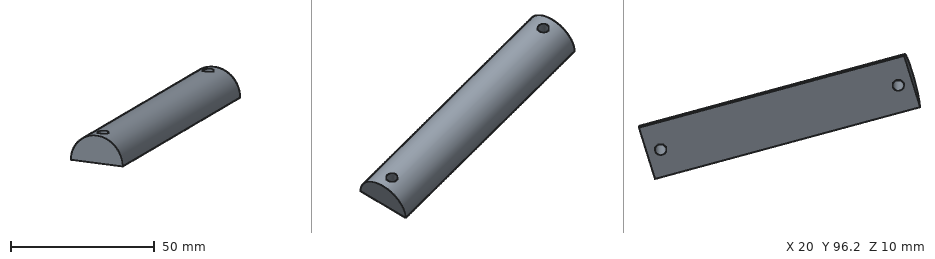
import cadquery as cq

radius = 10.0
length = 96.2

hole_diameter = 4.0
hole_end_distance = 5.0
hole_offset = length / 2 - hole_end_distance


def half_round_bar():
    """Half disc in the XZ plane, extruded symmetrically along Y."""
    return (
        cq.Workplane("XZ")
        .moveTo(-radius, 0)
        .threePointArc((0, radius), (radius, 0))
        .close()
        .extrude(length / 2, both=True)
    )


def through_holes():
    """Cylinders that pass from the flat face out through the round top."""
    return (
        cq.Workplane("XY")
        .pushPoints([(0, -hole_offset), (0, hole_offset)])
        .circle(hole_diameter / 2)
        .extrude(radius)
    )


result = half_round_bar().cut(through_holes())